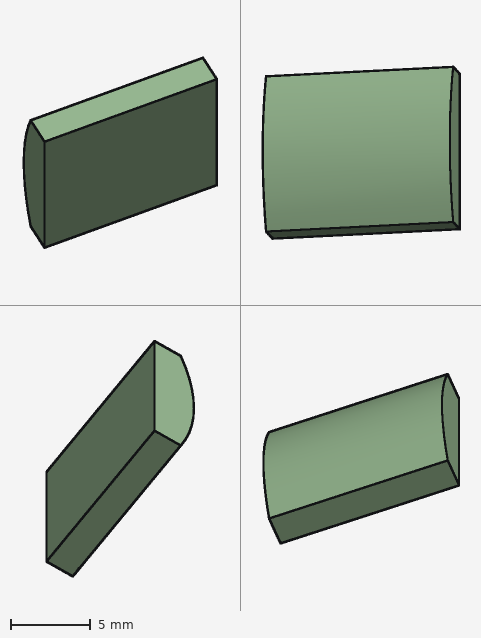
import cadquery as cq

length = 12.0
height = 10.0
edge_thickness = 2.0
crown = 1.0

half_height = height / 2
flat_face_x = edge_thickness


def crowned_profile():
    """Cross-section in XZ: flat on +X, a single convex arc on -X."""
    return (
        cq.Workplane("XZ")
        .moveTo(0, -half_height)
        .lineTo(flat_face_x, -half_height)
        .lineTo(flat_face_x, half_height)
        .lineTo(0, half_height)
        .threePointArc((-crown, 0), (0, -half_height))
        .close()
    )


result = crowned_profile().extrude(length / 2, both=True)